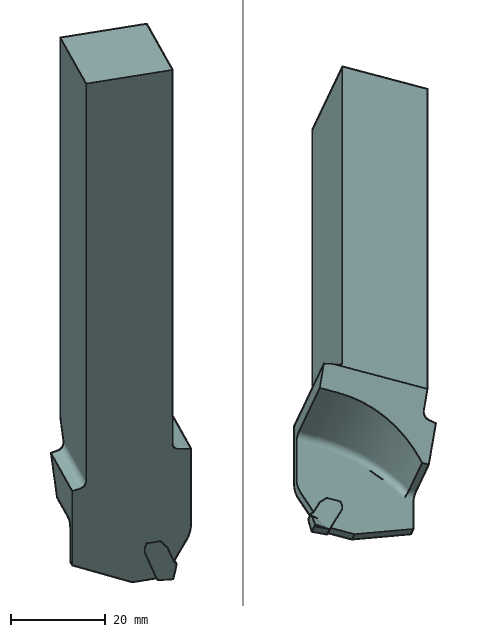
import cadquery as cq
import math

shank = 19.0
height = 127.0

head_front = -3.0
head_back = 23.1
front_shoulder_z = 26.0
back_shoulder_z = 31.9
shoulder_angle = 10.0
front_shoulder_radius = 1.7
back_shoulder_radius = 1.3

bevel_top_z = 32.3
bevel_angle = 28.0

blade_x = 17.4
blade_root_radius = 1.5
root_high_z = 26.9
root_low_z = 17.7
root_arc_start_y = shank
root_arc_end_y = -1.5
blade_bottom_z = 0.9
blade_bottom_front_y = 10.2
blade_front_corner_z = 7.5
blade_back_corner_z = 11.0
blade_back_radius = 7.6

insert_seat_back = (19.3, 4.5)
insert_seat_front = (15.5, blade_bottom_z)
insert_heel = (15.7, 0.4)
insert_tip = (19.2, 0.0)
insert_flank = (19.8, 2.9)
insert_shoulder = (20.0, 3.7)
insert_seat_top = [(13.0, 7.7), (13.0, 9.0), (13.3, 10.0), (16.4, 10.0), (17.9, 8.1)]

rake_start = (16.1, 0.4)
rake_end = (18.5, 2.8)
rake_height = 0.57

width_margin = 1.3


def extrude_x(outline, start_x, end_x):
    """Prism along X over a closed (Y, Z) outline."""
    return cq.Workplane("YZ", origin=(start_x, 0, 0)).polyline(outline).close().extrude(end_x - start_x)


def make_blank():
    """Shank and head silhouette, extruded through the full thickness."""
    slope = math.tan(math.radians(shoulder_angle))
    front_corner_z = front_shoulder_z - head_front * slope
    back_corner_z = back_shoulder_z + (head_back - shank) * slope
    blank = extrude_x(
        [
            (0, height),
            (0, front_corner_z),
            (head_front, front_shoulder_z),
            (head_front, blade_front_corner_z),
            (blade_bottom_front_y, blade_bottom_z),
            insert_seat_front,
            insert_seat_back,
            (head_back, blade_back_corner_z),
            (head_back, back_shoulder_z),
            (shank, back_corner_z),
            (shank, height),
        ],
        0,
        shank,
    )

    def round_edge(body, y, z, radius):
        corner = cq.selectors.NearestToPointSelector((shank / 2, y, z))
        return body.edges("|X").edges(corner).fillet(radius)

    blank = round_edge(blank, 0, front_corner_z, front_shoulder_radius)
    blank = round_edge(blank, shank, back_corner_z, back_shoulder_radius)
    return round_edge(blank, head_back, blade_back_corner_z, blade_back_radius)


def make_bevel():
    """Wedge removed from the -X face, deepening downward."""
    bevel_depth = bevel_top_z * math.tan(math.radians(bevel_angle))
    return (
        cq.Workplane("XZ", origin=(0, head_back + width_margin, 0))
        .polyline([(0, bevel_top_z), (bevel_depth, 0), (0, 0)])
        .close()
        .extrude(head_back - head_front + 2 * width_margin)
    )


def make_blade_relief():
    """Space beside the blade, under a curved root, with a rounded edge at the blade face."""
    run = root_arc_start_y - root_arc_end_y
    drop = root_high_z - root_low_z
    arc_radius = (run**2 + drop**2) / (2 * drop)
    half_sweep = math.asin(run / arc_radius) / 2
    arc_middle = (
        root_arc_start_y - arc_radius * math.sin(half_sweep),
        root_high_z - arc_radius * (1 - math.cos(half_sweep)),
    )
    relief = (
        cq.Workplane("YZ")
        .moveTo(head_back + width_margin, 0)
        .lineTo(head_back + width_margin, root_high_z)
        .lineTo(root_arc_start_y, root_high_z)
        .threePointArc(arc_middle, (root_arc_end_y, root_low_z))
        .lineTo(head_front - width_margin, root_low_z)
        .lineTo(head_front - width_margin, 0)
        .close()
        .extrude(blade_x)
    )
    root_edges = cq.selectors.BoxSelector(
        (blade_x - width_margin, head_front - width_margin / 2, root_low_z - width_margin),
        (blade_x + width_margin, head_back + width_margin / 2, root_high_z + width_margin),
    )
    return relief.faces(">X").edges(root_edges).fillet(blade_root_radius)


def make_rake():
    """Raised tip facet that climbs from its inner edge to the cutting tip."""
    edge_y = rake_end[0] - rake_start[0]
    edge_z = rake_end[1] - rake_start[1]
    edge_length = math.hypot(edge_y, edge_z)
    across = cq.Vector(0, edge_z / edge_length, -edge_y / edge_length)
    tip_offset = cq.Vector(0, insert_tip[0] - rake_start[0], insert_tip[1] - rake_start[1])
    tip_distance = tip_offset.dot(across)

    section = cq.Plane(
        origin=(blade_x, *rake_start), xDir=across, normal=across.cross(cq.Vector(-1, 0, 0))
    )
    reach = 2 * tip_distance
    wedge = (
        cq.Workplane(section)
        .polyline([(0, 0), (reach, 0), (reach, rake_height * reach / tip_distance)])
        .close()
        .extrude(2 * edge_length, both=True)
    )
    facet = [rake_start, insert_tip, insert_flank, rake_end]
    return extrude_x(facet, blade_x - shank / 2, blade_x).intersect(wedge)


def make_insert_plate():
    """Flat insert through the full blade thickness."""
    cutting_end = [insert_shoulder, insert_flank, insert_tip, insert_heel]
    outline = [insert_seat_back, *cutting_end, insert_seat_front, *insert_seat_top]
    return extrude_x(outline, blade_x, shank)


def make_holder():
    """Shank, head and blade, with the seat cut for the insert."""
    return make_blank().cut(make_bevel()).cut(make_blade_relief()).cut(make_insert_plate())


def make_insert():
    """Cutting insert with its raised tip."""
    return make_insert_plate().union(make_rake())


holder = make_holder()
insert = make_insert()

result = cq.Compound.makeCompound([holder.solids().val(), insert.solids().val()])